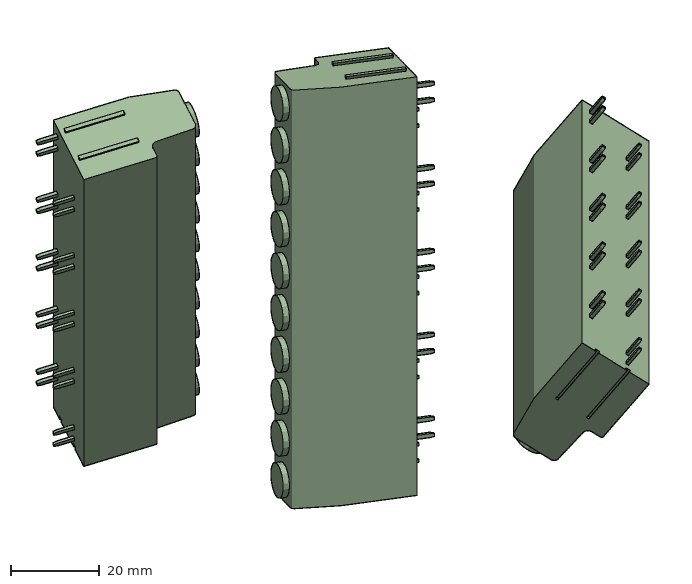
import cadquery as cq

POLE_COUNT = 10
POLE_PITCH = 10.16
BODY_LENGTH = POLE_COUNT * POLE_PITCH

BODY_WIDTH = 18.7
BODY_DEPTH = 29.35
SLOPE_START_Y = 18.3
LEDGE_Y = 17.9
TOP_LEFT_X = 2.0
TOP_RIGHT_X = 13.95
LEDGE_INNER_X = 14.4
TOP_LEFT_RADIUS = 1.0
TOP_RIGHT_RADIUS = 1.2
LEDGE_INNER_RADIUS = 1.5
LEDGE_OUTER_RADIUS = 0.5

HEAD_DIAMETER = 8.1
HEAD_HEIGHT = 1.5
HEAD_X = 7.45

PIN_LENGTH = 4.95
PIN_TIP_LENGTH = 1.0
PIN_HEIGHT = 1.0
PIN_TIP_HEIGHT = 0.6
PIN_PAIR_SPACING = 4.0
RIGHT_ROW_X = 12.6
LEFT_ROW_X = RIGHT_ROW_X - POLE_PITCH
LEFT_PIN_WIDTH = 0.9
RIGHT_PIN_WIDTH = 0.7

DOVETAIL_XS = (4.3, 12.9)
RIB_HEIGHT = 0.75
RIB_ROOT_WIDTH = 0.5
RIB_CREST_WIDTH = 1.1
RIB_START_Y = 1.15
RIB_END_Y = 15.5
GROOVE_DEPTH = 0.9
GROOVE_MOUTH_WIDTH = 0.6
GROOVE_FLOOR_WIDTH = 1.2


def housing():
    """Constant profile with a sloped side and a stepped side."""
    block = (
        cq.Workplane("XY")
        .moveTo(0, 0)
        .lineTo(BODY_WIDTH, 0)
        .lineTo(BODY_WIDTH, LEDGE_Y)
        .lineTo(LEDGE_INNER_X, LEDGE_Y)
        .lineTo(TOP_RIGHT_X, BODY_DEPTH)
        .lineTo(TOP_LEFT_X, BODY_DEPTH)
        .lineTo(0, SLOPE_START_Y)
        .close()
        .extrude(BODY_LENGTH)
    )
    block = round_edge(block, TOP_LEFT_X, BODY_DEPTH, TOP_LEFT_RADIUS)
    block = round_edge(block, TOP_RIGHT_X, BODY_DEPTH, TOP_RIGHT_RADIUS)
    block = round_edge(block, LEDGE_INNER_X, LEDGE_Y, LEDGE_INNER_RADIUS)
    return round_edge(block, BODY_WIDTH, LEDGE_Y, LEDGE_OUTER_RADIUS)


def round_edge(block, x, y, radius):
    """Fillet the lengthwise edge nearest to (x, y)."""
    middle = (x, y, BODY_LENGTH / 2)
    return block.edges("|Z").edges(cq.NearestToPointSelector(middle)).fillet(radius)


def screw_head(z):
    """Disc standing on the +Y face; sunk to the ledge level so it fuses with the housing."""
    return (
        cq.Workplane("XZ", origin=(HEAD_X, LEDGE_Y, z))
        .circle(HEAD_DIAMETER / 2)
        .extrude(-(BODY_DEPTH + HEAD_HEIGHT - LEDGE_Y))
    )


def pin(x, z, width):
    """Flat pin on the Y = 0 face whose tip narrows along Z."""
    shoulder_y = PIN_TIP_LENGTH - PIN_LENGTH
    half_height = PIN_HEIGHT / 2
    half_tip = PIN_TIP_HEIGHT / 2
    return (
        cq.Workplane("YZ", origin=(x, 0, z))
        .moveTo(0, -half_height)
        .lineTo(shoulder_y, -half_height)
        .lineTo(-PIN_LENGTH, -half_tip)
        .lineTo(-PIN_LENGTH, half_tip)
        .lineTo(shoulder_y, half_height)
        .lineTo(0, half_height)
        .close()
        .extrude(width / 2, both=True)
    )


def dovetail(x, base_z, height, base_width, far_width, start_y, end_y):
    """Bar along Y with a trapezoid section, rising from base_z."""
    return (
        cq.Workplane("XZ", origin=(x, start_y, base_z))
        .moveTo(-base_width / 2, 0)
        .lineTo(base_width / 2, 0)
        .lineTo(far_width / 2, height)
        .lineTo(-far_width / 2, height)
        .close()
        .extrude(-(end_y - start_y))
    )


result = housing()

for dovetail_x in DOVETAIL_XS:
    rib = dovetail(
        dovetail_x, BODY_LENGTH, RIB_HEIGHT, RIB_ROOT_WIDTH, RIB_CREST_WIDTH, RIB_START_Y, RIB_END_Y
    )
    groove = dovetail(
        dovetail_x, 0, GROOVE_DEPTH, GROOVE_MOUTH_WIDTH, GROOVE_FLOOR_WIDTH, 0, RIB_END_Y
    )
    result = result.union(rib).cut(groove)

for pole in range(POLE_COUNT):
    pole_z = (pole + 0.5) * POLE_PITCH
    result = result.union(screw_head(pole_z))
    in_right_row = pole % 2 == 0
    pin_x = RIGHT_ROW_X if in_right_row else LEFT_ROW_X
    pin_width = RIGHT_PIN_WIDTH if in_right_row else LEFT_PIN_WIDTH
    for side in (-1, 1):
        pin_z = pole_z + side * PIN_PAIR_SPACING / 2
        result = result.union(pin(pin_x, pin_z, pin_width))